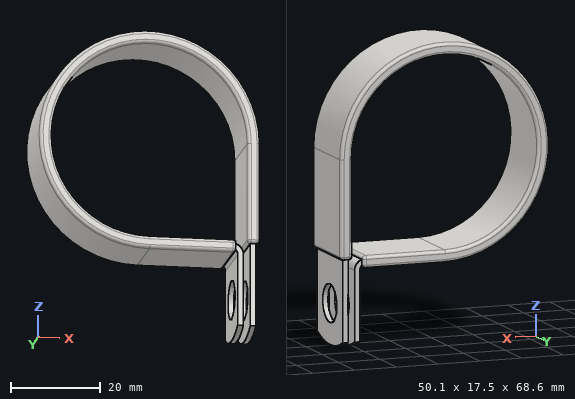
import cadquery as cq
import math

loop_outer_radius = 25.05
overall_height = 68.6
cushion_width = 17.5
band_width = 15.9
band_thickness = 1.3
bend_radius = 1.85
upright_cushion_end = -22.9
hole_diameter = 8.7
hole_above_tip = 9.5
tip_sagitta = 1.8

cushion_cover = (cushion_width - band_width) / 2
cushion_thickness = band_thickness + 2 * cushion_cover
center_radius = loop_outer_radius - cushion_thickness / 2
tip_z = loop_outer_radius - overall_height
bent_tab_x = center_radius - cushion_thickness
bend_start_x = bent_tab_x - bend_radius
level_cushion_end = bend_start_x + cushion_cover
tab_shoulder_z = tip_z + tip_sagitta
diagonal = math.sqrt(0.5)


def start_loop(upright_end_z):
    """Centre line from the upright leg, over the loop, to its lowest point."""
    return (
        cq.Workplane("XZ")
        .moveTo(center_radius, upright_end_z)
        .lineTo(center_radius, 0)
        .threePointArc((-center_radius * diagonal, center_radius * diagonal), (0, -center_radius))
    )


def strip(path, upright_end_z, thickness, width):
    """Sweep a rectangular section along a centre line."""
    section = cq.Workplane("XY", origin=(center_radius, 0, upright_end_z)).rect(thickness, width)
    return section.sweep(path, transition="right")


def make_cushion():
    """Rubber sleeve around the loop, rounded down to the band on every edge."""
    path = start_loop(upright_cushion_end).lineTo(level_cushion_end, -center_radius)
    sleeve = strip(path, upright_cushion_end, cushion_thickness, cushion_width)
    return sleeve.edges().fillet(cushion_cover)


def make_band():
    """Metal strip through the cushion, ending in two parallel tabs."""
    bend_mid = (
        bend_start_x + bend_radius * diagonal,
        -center_radius - bend_radius * (1 - diagonal),
    )
    path = (
        start_loop(tip_z)
        .lineTo(bend_start_x, -center_radius)
        .threePointArc(bend_mid, (bent_tab_x, -center_radius - bend_radius))
        .lineTo(bent_tab_x, tip_z)
    )
    return strip(path, tip_z, band_thickness, band_width)


def make_tip_trimmer():
    """Profile that keeps everything above the curved tab tips."""
    half_width = cushion_width / 2
    half_band = band_width / 2
    return (
        cq.Workplane("YZ")
        .moveTo(-half_band, tab_shoulder_z)
        .threePointArc((0, tip_z), (half_band, tab_shoulder_z))
        .lineTo(half_width, tab_shoulder_z)
        .lineTo(half_width, loop_outer_radius)
        .lineTo(-half_width, loop_outer_radius)
        .lineTo(-half_width, tab_shoulder_z)
        .close()
        .extrude(loop_outer_radius, both=True)
    )


def make_bolt_hole():
    """Cylinder passing through both tabs."""
    return (
        cq.Workplane("YZ")
        .center(0, tip_z + hole_above_tip)
        .circle(hole_diameter / 2)
        .extrude(loop_outer_radius)
    )


band = make_band().intersect(make_tip_trimmer()).cut(make_bolt_hole())
result = make_cushion().union(band)